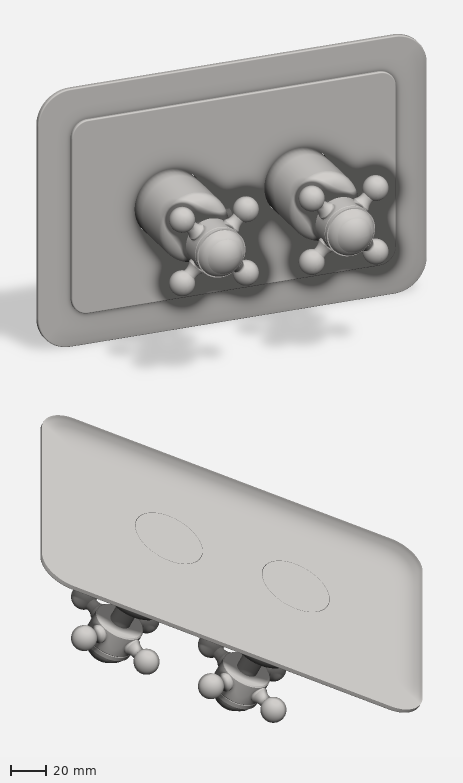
import cadquery as cq
import math

PLATE_WIDTH = 240.0
PLATE_HEIGHT = PLATE_WIDTH * 2 / 3
PLATE_THICKNESS = 3.0
PLATE_CORNER = PLATE_WIDTH / 12
EDGE_ROUNDING = 0.7

PANEL_INSET = PLATE_CORNER
PANEL_THICKNESS = 2.2
PANEL_CORNER = 10.0

VALVE_OFFSET = PLATE_WIDTH / 6
BODY_RADIUS = 21.0
BODY_LENGTH = 49.0
BODY_ROUNDING = 8.0
HOLE_CLEARANCE = 0.2

STEM_RADIUS = 6.2
HUB_RADIUS = 15.0
HUB_START = 65.0
HUB_END = 80.0
HUB_CHAMFER = 0.7
RIM_END = 82.5
TIP = 93.0
DOME_BASE_RADIUS = 14.2
SHOULDER_MID = (85.7, 13.0)
CAP_START = 88.0
CAP_RADIUS = 13.5

ARM_COUNT = 4
ARM_FIRST_ANGLE = 45
ARM_X = 71.5
BALL_RADIUS = 7.5
BALL_DISTANCE = 27.8
COLLAR_RADIUS = 5.3
COLLAR_TOP = 15.5
NECK_RADIUS = 3.8

BUTTON_X = 33.0
BUTTON_RADIUS = 3.8
BUTTON_TOP = 26.2
BUTTON_CHAMFER = 0.5


def rounded_slab(width, height, thickness, corner, start):
    """Slab with rounded corners and a rounded inner rim, spanning X from start to start + thickness."""
    return (
        cq.Workplane("YZ")
        .workplane(offset=start)
        .rect(width, height)
        .extrude(thickness)
        .edges("|X")
        .fillet(corner)
        .faces(">X")
        .edges()
        .fillet(EDGE_ROUNDING)
    )


def make_plate():
    """Plate and raised panel with a clearance hole for each valve body."""
    total = PLATE_THICKNESS + PANEL_THICKNESS
    plate = rounded_slab(PLATE_WIDTH, PLATE_HEIGHT, PLATE_THICKNESS, PLATE_CORNER, 0)
    panel = rounded_slab(
        PLATE_WIDTH - 2 * PANEL_INSET,
        PLATE_HEIGHT - 2 * PANEL_INSET,
        PANEL_THICKNESS,
        PANEL_CORNER,
        PLATE_THICKNESS,
    )
    holes = (
        cq.Workplane("YZ")
        .pushPoints([(-VALVE_OFFSET, 0), (VALVE_OFFSET, 0)])
        .circle(BODY_RADIUS + HOLE_CLEARANCE)
        .extrude(total)
    )
    return plate.union(panel).cut(holes)


def make_core():
    """Body, stem, hub and dome as one turned shape about the X axis."""
    rounding_mid = BODY_ROUNDING * (1 - math.sqrt(0.5))
    cap_centre = TIP - CAP_RADIUS
    cap_angle = math.acos((CAP_START - cap_centre) / CAP_RADIUS)
    cap_start = (CAP_START, CAP_RADIUS * math.sin(cap_angle))
    cap_mid = (
        cap_centre + CAP_RADIUS * math.cos(cap_angle / 2),
        CAP_RADIUS * math.sin(cap_angle / 2),
    )
    return (
        cq.Workplane("XY")
        .moveTo(0, 0)
        .lineTo(0, BODY_RADIUS)
        .lineTo(BODY_LENGTH - BODY_ROUNDING, BODY_RADIUS)
        .threePointArc(
            (BODY_LENGTH - rounding_mid, BODY_RADIUS - rounding_mid),
            (BODY_LENGTH, BODY_RADIUS - BODY_ROUNDING),
        )
        .lineTo(BODY_LENGTH, STEM_RADIUS)
        .lineTo(HUB_START, STEM_RADIUS)
        .lineTo(HUB_START, HUB_RADIUS - HUB_CHAMFER)
        .lineTo(HUB_START + HUB_CHAMFER, HUB_RADIUS)
        .lineTo(HUB_END - HUB_CHAMFER, HUB_RADIUS)
        .lineTo(HUB_END, HUB_RADIUS - HUB_CHAMFER)
        .lineTo(HUB_END, HUB_RADIUS)
        .lineTo(RIM_END, HUB_RADIUS)
        .lineTo(RIM_END, DOME_BASE_RADIUS)
        .threePointArc(SHOULDER_MID, cap_start)
        .threePointArc(cap_mid, (TIP, 0))
        .close()
        .revolve(360, (0, 0), (1, 0))
    )


def make_arm():
    """One arm along +Z from the hub axis: collar, flared neck and ball."""
    ball_joint = BALL_DISTANCE - math.sqrt(BALL_RADIUS**2 - NECK_RADIUS**2)
    flare_mid = (
        NECK_RADIUS + (COLLAR_RADIUS - NECK_RADIUS) * (1 - math.sqrt(0.5)),
        ball_joint - (ball_joint - COLLAR_TOP) * math.sqrt(0.5),
    )
    return (
        cq.Workplane("XZ")
        .moveTo(0, 0)
        .lineTo(COLLAR_RADIUS, 0)
        .lineTo(COLLAR_RADIUS, COLLAR_TOP)
        .threePointArc(flare_mid, (NECK_RADIUS, ball_joint))
        .threePointArc((BALL_RADIUS, BALL_DISTANCE), (0, BALL_DISTANCE + BALL_RADIUS))
        .close()
        .revolve(360, (0, 0), (0, 1))
        .translate((ARM_X, 0, 0))
    )


def make_button():
    """Round button standing on the +Y side of a body."""
    return (
        cq.Workplane("XZ")
        .center(BUTTON_X, 0)
        .circle(BUTTON_RADIUS)
        .extrude(-BUTTON_TOP)
        .faces(">Y")
        .chamfer(BUTTON_CHAMFER)
    )


def make_valve(y_position, has_button):
    """Valve with its cross handle, moved to its place on the plate."""
    valve = make_core()
    for index in range(ARM_COUNT):
        angle = ARM_FIRST_ANGLE + index * 360 / ARM_COUNT
        valve = valve.union(make_arm().rotate((0, 0, 0), (1, 0, 0), angle))
    if has_button:
        valve = valve.union(make_button())
    return valve.translate((0, y_position, 0))


plate = make_plate()
valves = []
for side in (-1, 1):
    valve = make_valve(side * VALVE_OFFSET, has_button=side < 0)
    valves.append(valve.val())

result = cq.Compound.makeCompound([plate.val(), *valves])